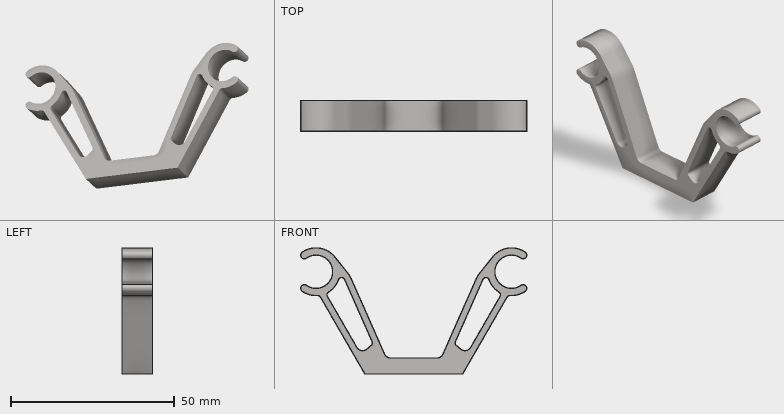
import cadquery as cq
import math

length = 69.4
depth = 9.5

clip_x = 30.0
clip_z = 31.45
clip_radius = 7.35
bore_radius = 5.1
tip_radius = (clip_radius - bore_radius) / 2
tip_ring_radius = (clip_radius + bore_radius) / 2

base_half_width = 15.0
floor_z = 5.0
floor_half_width = 8.4
knee_x = 19.6
knee_z = 30.3
leg_angle = math.radians(60)
leg_wall = 2.0

window_floor_x = 14.85
window_floor_z = 7.35
window_floor_angle = math.radians(40)

floor_fillet = 2.0
knee_fillet = 8.95
clip_root_fillet = 1.0
window_fillet = 1.0
window_outer_fillet = 2.0


def prism(outline):
    """Extrude a closed XZ outline symmetrically about Y = 0."""
    return outline.extrude(depth / 2, both=True)


def polygon(points):
    return prism(cq.Workplane("XZ").polyline(points).close())


def disc(x, z, radius):
    return prism(cq.Workplane("XZ").center(x, z).circle(radius))


def edge_near(body, x, z):
    """Pick the edge along Y that lies closest to (x, z)."""
    return body.edges("|Y").edges(cq.selectors.NearestToPointSelector((x, 0, z)))


def line_crossing(point_a, angle_a, point_b, angle_b):
    """Intersect two lines, each given by a point and a direction angle."""
    dx = point_b[0] - point_a[0]
    dz = point_b[1] - point_a[1]
    along_a = (dx * math.sin(angle_b) - dz * math.cos(angle_b)) / math.sin(angle_b - angle_a)
    return (point_a[0] + along_a * math.cos(angle_a), point_a[1] + along_a * math.sin(angle_a))


def circle_crossing(point, angle):
    """Follow a rising line to where it first meets the clip's outer circle."""
    dx = point[0] - clip_x
    dz = point[1] - clip_z
    towards = -(dx * math.cos(angle) + dz * math.sin(angle))
    chord_half = math.sqrt(clip_radius**2 - (dx**2 + dz**2 - towards**2))
    reach = towards - chord_half
    return (point[0] + reach * math.cos(angle), point[1] + reach * math.sin(angle))


base_corner = (base_half_width, 0)
floor_corner = (floor_half_width, floor_z)
knee = (knee_x, knee_z)
clip_centre = (clip_x, clip_z)
inner_angle = math.atan2(knee_z - floor_z, knee_x - floor_half_width)


def make_leg():
    """Half of the base with one leg, joined to a solid clip disc."""
    knee_distance = math.dist(knee, clip_centre)
    knee_direction = math.atan2(knee_z - clip_z, knee_x - clip_x)
    tangent_angle = knee_direction - math.acos(clip_radius / knee_distance)
    shoulder = (
        clip_x + clip_radius * math.cos(tangent_angle),
        clip_z + clip_radius * math.sin(tangent_angle),
    )
    clip_root = circle_crossing(base_corner, leg_angle)
    leg = polygon(
        [(0, 0), base_corner, clip_root, clip_centre, shoulder, knee, floor_corner, (0, floor_z)]
    )
    leg = leg.union(disc(clip_x, clip_z, clip_radius))
    leg = edge_near(leg, *floor_corner).fillet(floor_fillet)
    leg = edge_near(leg, *knee).fillet(knee_fillet)
    return edge_near(leg, *clip_root).fillet(clip_root_fillet)


def make_window():
    """Tapered opening that keeps an even wall along both sides of the leg."""
    outer_point = (base_half_width - leg_wall / math.sin(leg_angle), 0)
    inner_point = (floor_half_width + leg_wall / math.sin(inner_angle), floor_z)
    floor_point = (window_floor_x, window_floor_z)
    floor_angle = math.pi - window_floor_angle
    outer_bottom = line_crossing(floor_point, floor_angle, outer_point, leg_angle)
    inner_bottom = line_crossing(floor_point, floor_angle, inner_point, inner_angle)
    outer_top = circle_crossing(outer_point, leg_angle)
    inner_top = circle_crossing(inner_point, inner_angle)
    window = polygon([outer_bottom, outer_top, clip_centre, inner_top, inner_bottom])
    window = window.cut(disc(clip_x, clip_z, clip_radius))
    for corner in (outer_top, inner_top, inner_bottom):
        window = edge_near(window, *corner).fillet(window_fillet)
    return edge_near(window, *outer_bottom).fillet(window_outer_fillet)


def open_clip(body):
    """Bore the clip, open its outer side and round off both jaw tips."""
    tip_dx = length / 2 - tip_radius - clip_x
    tip_dz = math.sqrt(tip_ring_radius**2 - tip_dx**2)
    mouth = polygon(
        [
            clip_centre,
            (clip_x + 3 * tip_dx, clip_z - 3 * tip_dz),
            (clip_x + 3 * tip_dx, clip_z + 3 * tip_dz),
        ]
    )
    body = body.cut(disc(clip_x, clip_z, bore_radius)).cut(mouth)
    for side in (-1, 1):
        body = body.union(disc(clip_x + tip_dx, clip_z + side * tip_dz, tip_radius))
    return body


right_half = open_clip(make_leg().cut(make_window()))
result = right_half.union(right_half.mirror("YZ")).clean()